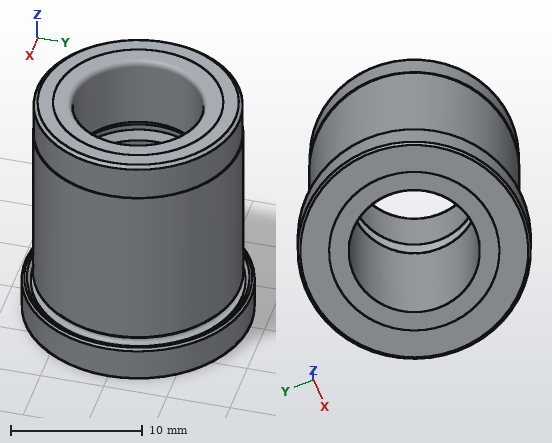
import cadquery as cq
import math

total_height = 20.0
flange_height = 3.0
collar_height = 3.0

flange_radius = 17.8 / 2
body_radius = 8.03
collar_radius = 7.98
liner_seat_radius = 6.5

flange_chamfer = 0.2
collar_chamfer = 0.3
collar_chamfer_height = 0.25

undercut_depth_in_body = 0.4
undercut_depth_in_flange = 0.3
undercut_fillet = 0.4
undercut_outer_radius = 8.5
gap_above_flange = 0.5

bore_radius = 5.0
bore_entry_fillet = 0.5
groove_depth = 0.5
groove_slope_height = 0.65
groove_floor_width = 0.5
groove_top = 14.15


def make_housing():
    """Flanged sleeve, revolved from its half section (radius, height)."""
    collar_bottom = total_height - collar_height
    neck_radius = body_radius - undercut_depth_in_body
    undercut_floor = flange_height - undercut_depth_in_flange
    undercut_floor_edge = undercut_outer_radius - undercut_depth_in_flange
    fillet_center = (neck_radius + undercut_fillet, undercut_floor + undercut_fillet)
    fillet_reach = undercut_fillet * math.sqrt(0.5)
    fillet_middle = (fillet_center[0] - fillet_reach, fillet_center[1] - fillet_reach)

    section = (
        cq.Workplane("XZ")
        .moveTo(liner_seat_radius, 0)
        .lineTo(flange_radius - flange_chamfer, 0)
        .lineTo(flange_radius, flange_chamfer)
        .lineTo(flange_radius, flange_height - flange_chamfer)
        .lineTo(flange_radius - flange_chamfer, flange_height)
        .lineTo(undercut_outer_radius, flange_height)
        .lineTo(undercut_floor_edge, undercut_floor)
        .lineTo(fillet_center[0], undercut_floor)
        .threePointArc(fillet_middle, (neck_radius, fillet_center[1]))
        .lineTo(body_radius, flange_height + gap_above_flange)
        .lineTo(body_radius, collar_bottom)
        .lineTo(collar_radius, collar_bottom)
        .lineTo(collar_radius, total_height - collar_chamfer_height)
        .lineTo(collar_radius - collar_chamfer, total_height)
        .lineTo(liner_seat_radius, total_height)
        .close()
    )
    return section.revolve(360, (0, 0, 0), (0, 1, 0))


def make_liner():
    """Bearing liner filling the housing seat, with a rounded entry and a bore groove."""
    tube = (
        cq.Workplane("XY")
        .circle(liner_seat_radius)
        .circle(bore_radius)
        .extrude(total_height)
        .faces(">Z")
        .edges(cq.selectors.RadiusNthSelector(0))
        .fillet(bore_entry_fillet)
    )
    groove_radius = bore_radius + groove_depth
    floor_top = groove_top - groove_slope_height
    floor_bottom = floor_top - groove_floor_width
    groove_bottom = floor_bottom - groove_slope_height
    groove = (
        cq.Workplane("XZ")
        .moveTo(0, groove_top)
        .lineTo(bore_radius, groove_top)
        .lineTo(groove_radius, floor_top)
        .lineTo(groove_radius, floor_bottom)
        .lineTo(bore_radius, groove_bottom)
        .lineTo(0, groove_bottom)
        .close()
        .revolve(360, (0, 0, 0), (0, 1, 0))
    )
    return tube.cut(groove)


housing = make_housing()
liner = make_liner()

result = cq.Compound.makeCompound([housing.val(), liner.val()])